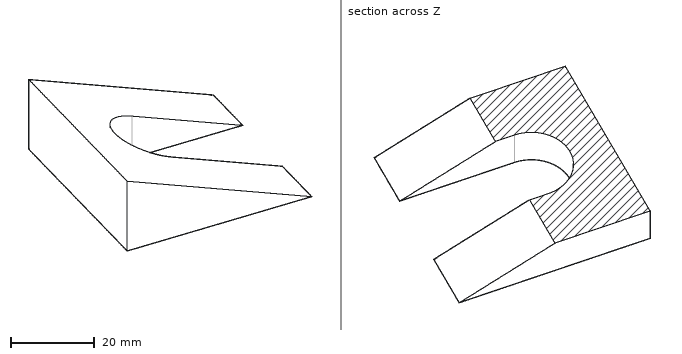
import cadquery as cq

side = 50.0
height = 20.0
slot_width = 20.0
slot_wall = 10.0

slot_radius = slot_width / 2
slot_center_y = -side / 2 + slot_wall + slot_radius


def make_wedge():
    """Triangular profile in YZ, tapering to a sharp edge at +Y."""
    return (
        cq.Workplane("YZ")
        .moveTo(-side / 2, 0)
        .lineTo(side / 2, 0)
        .lineTo(-side / 2, height)
        .close()
        .extrude(side / 2, both=True)
    )


def make_slot():
    """Vertical through slot with a round bottom, open at the sharp edge."""
    return (
        cq.Workplane("XY")
        .moveTo(-slot_radius, side / 2)
        .lineTo(-slot_radius, slot_center_y)
        .threePointArc((0, slot_center_y - slot_radius), (slot_radius, slot_center_y))
        .lineTo(slot_radius, side / 2)
        .close()
        .extrude(height)
    )


result = make_wedge().cut(make_slot())